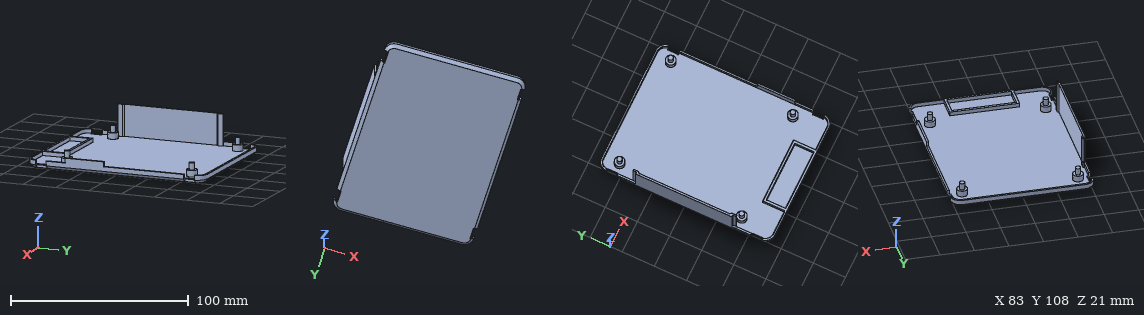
import cadquery as cq

LENGTH = 108.0
WIDTH = 83.0
RIM_HEIGHT = 4.8
FLOOR_TOP = 2.4
WALL = 1.2
CORNER_RADIUS = 6.0
BOTTOM_BEVEL = 2.0

NOTCH_DEPTH = 2.0
NOTCH_INNER_Y = 41.8
NOTCH_OUTER_Y = 48.4

UNDERCUT_DEPTH = 0.4
UNDERCUT_HEIGHT = 1.6

TALL_WALL_TOP = 21.0
TALL_WALL_LENGTH = 60.0
LIP_OVERHANG = 2.0
LIP_THICKNESS = 0.9
LIP_FLAT = 3.0
LIP_BEVEL = 1.0

TAB_TOP = 7.6
TAB_FRONT_Y = -30.3
TAB_BACK_Y = -6.9

POST_CENTER_X = -0.2
POST_SPACING_X = 67.1
POST_FRONT_Y = -32.5
POST_BACK_Y = 43.5
POST_DIAMETER = 6.0
POST_TOP = 6.0
PIN_DIAMETER = 3.0
PIN_TOP = 10.0

FRAME_WIDTH = 40.4
FRAME_DEPTH = 14.9
FRAME_WALL = 1.5

LEFT = -WIDTH / 2
RIGHT = WIDTH / 2
FRONT = -LENGTH / 2


def box(x_range, y_range, z_range):
    """Box spanning the given (low, high) ranges."""
    sizes = [high - low for low, high in (x_range, y_range, z_range)]
    corner = (x_range[0], y_range[0], z_range[0])
    return cq.Workplane("XY").box(*sizes, centered=False).translate(corner)


def make_pan():
    outer = (
        cq.Workplane("XY")
        .rect(WIDTH, LENGTH)
        .extrude(RIM_HEIGHT)
        .edges("|Z")
        .fillet(CORNER_RADIUS)
        .faces("<Z")
        .chamfer(BOTTOM_BEVEL)
    )
    cavity = (
        cq.Workplane("XY")
        .workplane(offset=FLOOR_TOP)
        .rect(WIDTH - 2 * WALL, LENGTH - 2 * WALL)
        .extrude(RIM_HEIGHT)
        .edges("|Z")
        .fillet(CORNER_RADIUS - WALL)
    )
    return outer.cut(cavity)


def make_notch_cutter():
    """Cutter for the back left notch: a full-height opening with a 45 degree topped undercut."""
    ledge_x = LEFT + NOTCH_DEPTH
    undercut_x = ledge_x + UNDERCUT_DEPTH
    return (
        cq.Workplane("XZ", origin=(0, NOTCH_OUTER_Y, 0))
        .moveTo(LEFT, 0)
        .lineTo(undercut_x, 0)
        .lineTo(undercut_x, UNDERCUT_HEIGHT)
        .lineTo(ledge_x, UNDERCUT_HEIGHT + UNDERCUT_DEPTH)
        .lineTo(ledge_x, RIM_HEIGHT)
        .lineTo(LEFT, RIM_HEIGHT)
        .close()
        .extrude(NOTCH_OUTER_Y - NOTCH_INNER_Y)
    )


def cut_notches(body):
    back_left = make_notch_cutter()
    for cutter in (back_left, back_left.mirror("YZ")):
        body = body.cut(cutter).cut(cutter.mirror("XZ"))
    return body


def make_tall_wall():
    half_length = TALL_WALL_LENGTH / 2
    wall = box((LEFT, LEFT + WALL), (-half_length, half_length), (FLOOR_TOP, TALL_WALL_TOP))

    lip_end = half_length + LIP_OVERHANG
    flat_end = lip_end - LIP_FLAT
    wall_face = LEFT + WALL
    lip_face = wall_face + LIP_THICKNESS
    lip = (
        cq.Workplane("XY")
        .workplane(offset=FLOOR_TOP)
        .moveTo(wall_face, lip_end)
        .lineTo(lip_face, lip_end)
        .lineTo(lip_face, flat_end)
        .lineTo(wall_face, flat_end - LIP_BEVEL)
        .close()
        .extrude(TALL_WALL_TOP - FLOOR_TOP)
    )
    return wall.union(lip).union(lip.mirror("XZ"))


def make_tab():
    return box((RIGHT - WALL, RIGHT), (TAB_FRONT_Y, TAB_BACK_Y), (FLOOR_TOP, TAB_TOP))


def make_posts():
    half_spacing = POST_SPACING_X / 2
    columns = (POST_CENTER_X - half_spacing, POST_CENTER_X + half_spacing)
    centers = [(x, y) for x in columns for y in (POST_FRONT_Y, POST_BACK_Y)]
    floor = cq.Workplane("XY").workplane(offset=FLOOR_TOP).pushPoints(centers)
    posts = floor.circle(POST_DIAMETER / 2).extrude(POST_TOP - FLOOR_TOP)
    pins = floor.circle(PIN_DIAMETER / 2).extrude(PIN_TOP - FLOOR_TOP)
    return posts.union(pins)


def make_frame():
    half_outer = FRAME_WIDTH / 2
    half_inner = half_outer - FRAME_WALL
    z_range = (FLOOR_TOP, RIM_HEIGHT)
    back = FRONT + FRAME_DEPTH
    outer = box((-half_outer, half_outer), (FRONT, back), z_range)
    inner = box((-half_inner, half_inner), (FRONT + FRAME_WALL, back - FRAME_WALL), z_range)
    return outer.cut(inner)


result = (
    cut_notches(make_pan())
    .union(make_tall_wall())
    .union(make_tab())
    .union(make_posts())
    .union(make_frame())
)